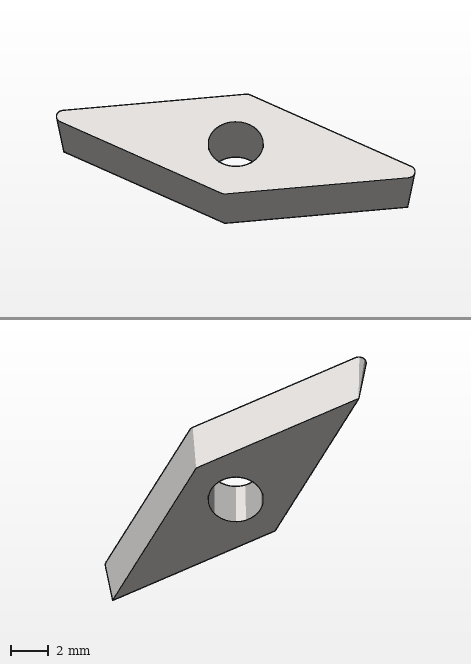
import cadquery as cq
import math

inscribed_diameter = 6.35
thickness = 3.18
acute_angle = math.radians(35)
relief_angle = 7
nose_radius = 0.4
hole_diameter = 2.9

side_length = inscribed_diameter / math.sin(acute_angle)
slant_run = side_length * math.cos(acute_angle)
half_width = inscribed_diameter / 2
far_x = (side_length + slant_run) / 2
near_x = (side_length - slant_run) / 2


def rounded_rhombus():
    """Top outline: two edges along X, all four corners rounded."""
    corners = [
        (-far_x, -half_width),
        (near_x, -half_width),
        (far_x, half_width),
        (-near_x, half_width),
    ]
    return cq.Sketch().polygon(corners + corners[:1]).vertices().fillet(nose_radius)


def insert_body():
    """Full-size top face narrowing downwards to the bottom face at Z = 0."""
    return (
        cq.Workplane("XY")
        .workplane(offset=thickness)
        .placeSketch(rounded_rhombus())
        .extrude(-thickness, taper=relief_angle)
    )


def clamping_hole():
    return cq.Workplane("XY").circle(hole_diameter / 2).extrude(thickness)


result = insert_body().cut(clamping_hole())